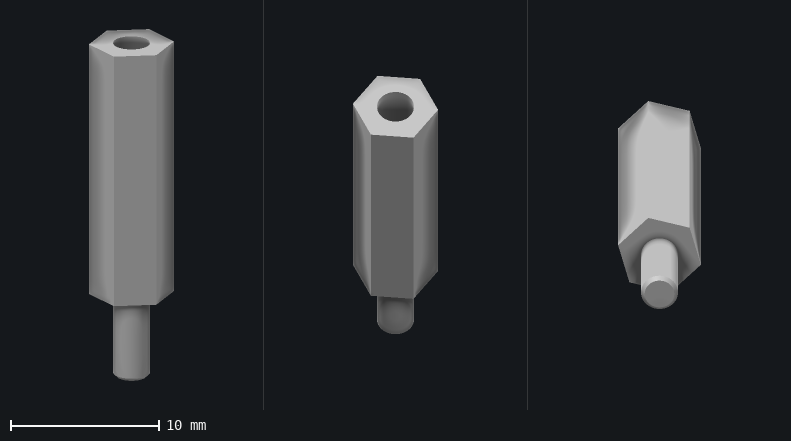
import cadquery as cq
import math

across_flats = 5.0
body_length = 18.0
thread_diameter = 2.5
stud_length = 6.0
stud_chamfer = 0.25
hole_depth = stud_length

hex_sides = 6
half_side_angle = 180 / hex_sides
across_corners = across_flats / math.cos(math.radians(half_side_angle))


def hex_body():
    """Hexagonal prism standing on Z = 0, with flats facing -X and +X."""
    return (
        cq.Workplane("XY")
        .polygon(hex_sides, across_corners)
        .extrude(body_length)
        .rotate((0, 0, 0), (0, 0, 1), half_side_angle)
    )


def stud():
    """Round stud below the body, chamfered at its free end."""
    return (
        cq.Workplane("XY")
        .circle(thread_diameter / 2)
        .extrude(-stud_length)
        .faces("<Z")
        .chamfer(stud_chamfer)
    )


def blind_hole():
    """Flat-bottomed hole volume reaching down from the top of the body."""
    return (
        cq.Workplane("XY")
        .workplane(offset=body_length - hole_depth)
        .circle(thread_diameter / 2)
        .extrude(hole_depth)
    )


result = hex_body().union(stud()).cut(blind_hole())